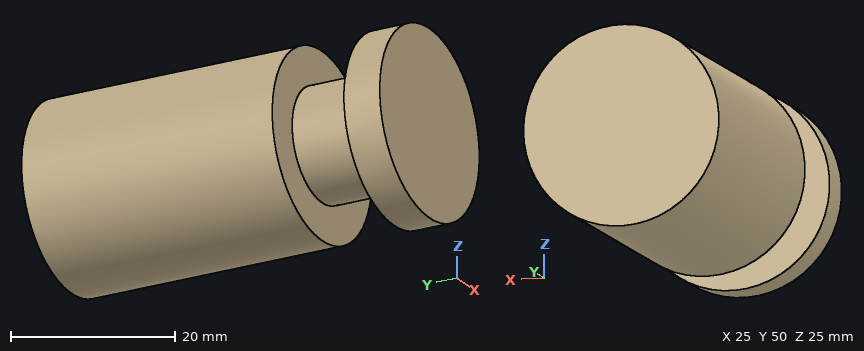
import cadquery as cq

total_length = 50
head_thickness = 5
neck_length = 10
outer_diameter = 25
neck_diameter = 15

body_length = total_length - head_thickness - neck_length


def disc(diameter, start_y, length):
    """Cylinder along +Y, starting at start_y."""
    profile = cq.Workplane("XZ", origin=(0, start_y, 0)).circle(diameter / 2)
    return profile.extrude(-length)


head = disc(outer_diameter, 0, head_thickness)
neck = disc(neck_diameter, head_thickness, neck_length)
body = disc(outer_diameter, head_thickness + neck_length, body_length)

result = head.union(neck).union(body)